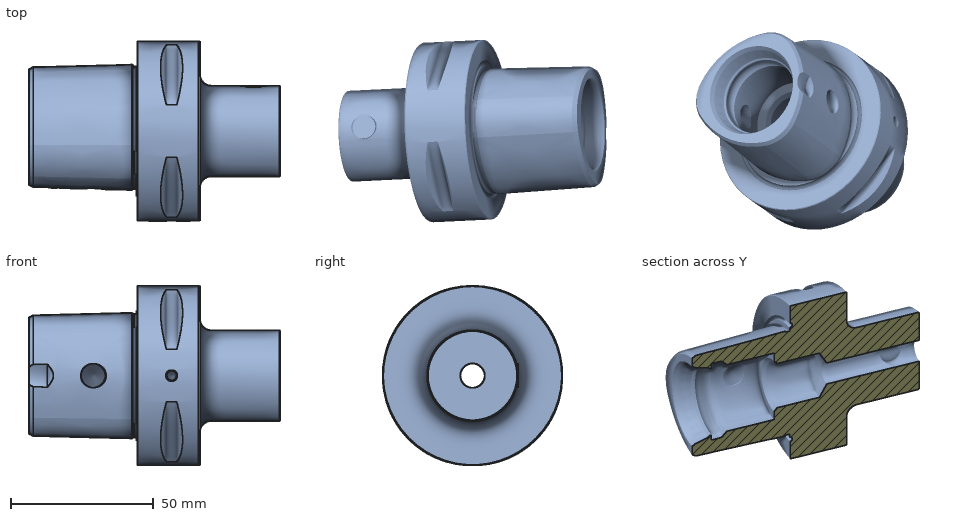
import cadquery as cq
import math

total_length = 88.0
flange_start = 37.9
flange_end = 59.9
taper_end = 36.1

flange_radius = 31.5
front_edge_chamfer = 0.3
rear_edge_chamfer = 0.5

nose_radius = 15.9
nose_fillet = 3.9
nose_edge_chamfer = 0.35

lobe_tip = 23.3
lobe_radius = 13.6
lobe_half_angle = 30
lobe_center = lobe_tip - lobe_radius
flank_radius = lobe_radius + lobe_center * math.sqrt(3)
taper_angle = math.degrees(math.atan(1 / 40))
end_chamfer_length = 1.5
end_chamfer_angle = 30.0

neck_inset = 0.35
neck_chamfer_angle = 45.0
collar_radius = 22.6
collar_height = 0.3
face_groove_width = 1.6
relief_cone_radius = 23.4

mouth_radius = 16.3
mouth_chamfer_radius = 15.4
mouth_chamfer_depth = 1.6
lip_entry_radius = 14.1
lip_entry = 6.4
bore_radius = 13.55
lip_start = 6.95
lip_end = 7.6
clamp_groove_radius = 15.6
clamp_groove_rounding = 1.8
clamp_groove_exit = 13.5
bore_floor = 31.7
thread_mouth_radius = 10.3
thread_radius = 9.0
thread_end = 49.3
through_radius = 4.2

drill_half_angle = 59.0
shank_hole_radius = 4.2
shank_hole_x = 22.5
shank_hole_start = 20.7
shank_hole_chamfer = 0.5
end_notch_radius = 5.5
end_notch_offset = 23.4
end_notch_depth = 6.5
end_notch_half_angle = 45.0
chip_hole_radius = 1.7
chip_hole_depth = 4.4
chip_hole_chamfer = 0.35

slot_x = 50.0
slot_floor_distance = 27.8
slot_floor_width = 3.6
slot_corner_radius = 0.4
slot_mouth_width = 7.7
slot_count = 4
first_slot_angle = 45.0

screw_x = 78.7
screw_radius = 4.1
screw_hole_chamfer = 0.5


def lobed_outline(start, inset):
    """Three-lobed outline in the plane X = start, with one lobe pointing to +Y."""
    def polar(radius, degrees):
        angle = math.radians(degrees)
        return radius * math.cos(angle), radius * math.sin(angle)

    def lobe_point(lobe_angle, offset_angle):
        center = polar(lobe_center, lobe_angle)
        spoke = polar(lobe_radius - inset, lobe_angle + offset_angle)
        return center[0] + spoke[0], center[1] + spoke[1]

    flank_distance = flank_radius - lobe_center - inset
    outline = cq.Workplane("YZ", origin=(start, 0, 0)).moveTo(*lobe_point(0, -lobe_half_angle))
    for lobe_angle in (0, 120, 240):
        outline = outline.threePointArc(
            polar(lobe_tip - inset, lobe_angle), lobe_point(lobe_angle, lobe_half_angle)
        )
        outline = outline.threePointArc(
            polar(flank_distance, lobe_angle + 60), lobe_point(lobe_angle + 120, -lobe_half_angle)
        )
    return outline.close()


def revolved(profile):
    """Solid of revolution about X from a closed profile in the XZ plane."""
    return profile.revolve(360, (0, 0, 0), (1, 0, 0))


def cone_length(radius, half_angle):
    return radius / math.tan(math.radians(half_angle))


def drill(radius, depth, half_angle, chamfer=0.0):
    """Drilled hole along +X from the origin, with a conical bottom and an optional entry chamfer."""
    entry = [(0, 0), (0, radius + chamfer)]
    if chamfer:
        entry.append((chamfer, radius))
    bottom = [(depth, radius), (depth + cone_length(radius, half_angle), 0)]
    return revolved(cq.Workplane("XZ").polyline(entry + bottom).close())


def side_drill(x, radius, start, depth, chamfer):
    """Chamfered drilled hole along +Y, starting on the -Y side at the given distance from the axis."""
    hole = drill(radius, depth, drill_half_angle, chamfer)
    return hole.rotate((0, 0, 0), (0, 0, 1), 90).translate((x, -start, 0))


def make_shank():
    taper_start = end_chamfer_length
    taper_inset = (taper_end - taper_start) * math.tan(math.radians(taper_angle))
    taper = lobed_outline(taper_end, 0).extrude(-(taper_end - taper_start), taper=taper_angle)
    tip = lobed_outline(taper_start, taper_inset).extrude(-taper_start, taper=end_chamfer_angle)
    neck_start = taper_end + neck_inset
    neck = lobed_outline(taper_end, 0).extrude(neck_inset, taper=neck_chamfer_angle)
    neck = neck.union(lobed_outline(neck_start, neck_inset).extrude(flange_start - neck_start))
    relief = revolved(
        cq.Workplane("XZ")
        .polyline([
            (taper_end, 0),
            (taper_end, relief_cone_radius),
            (taper_end + relief_cone_radius - collar_radius, collar_radius),
            (flange_start, collar_radius),
            (flange_start, 0),
        ])
        .close()
    )
    return taper.union(tip).union(neck.intersect(relief))


def make_flange_and_nose():
    collar_start = flange_start - collar_height
    groove_radius = face_groove_width / 2
    return revolved(
        cq.Workplane("XZ")
        .moveTo(collar_start, 0)
        .lineTo(collar_start, collar_radius)
        .lineTo(flange_start, collar_radius)
        .threePointArc(
            (flange_start + groove_radius, collar_radius + groove_radius),
            (flange_start, collar_radius + face_groove_width),
        )
        .lineTo(flange_start, flange_radius - front_edge_chamfer)
        .lineTo(flange_start + front_edge_chamfer, flange_radius)
        .lineTo(flange_end - rear_edge_chamfer, flange_radius)
        .lineTo(flange_end, flange_radius - rear_edge_chamfer / 2)
        .lineTo(flange_end, nose_radius + nose_fillet)
        .radiusArc((flange_end + nose_fillet, nose_radius), -nose_fillet)
        .lineTo(total_length - nose_edge_chamfer, nose_radius)
        .lineTo(total_length, nose_radius - nose_edge_chamfer)
        .lineTo(total_length, 0)
        .close()
    )


def make_bore():
    corner_radius = clamp_groove_radius - clamp_groove_rounding * (1 - math.cos(math.pi / 4))
    corner_end = clamp_groove_exit - (corner_radius - bore_radius)
    corner_start = corner_end - clamp_groove_rounding * math.sin(math.pi / 4)
    thread_start = bore_floor + thread_mouth_radius - thread_radius
    drill_end = thread_end + cone_length(thread_radius - through_radius, drill_half_angle)
    return revolved(
        cq.Workplane("XZ")
        .moveTo(0, 0)
        .lineTo(0, mouth_radius)
        .lineTo(mouth_chamfer_depth, mouth_chamfer_radius)
        .lineTo(lip_entry, lip_entry_radius)
        .lineTo(lip_start, bore_radius)
        .lineTo(lip_end, bore_radius)
        .lineTo(lip_end, clamp_groove_radius)
        .lineTo(corner_start, clamp_groove_radius)
        .radiusArc((corner_end, corner_radius), clamp_groove_rounding)
        .lineTo(clamp_groove_exit, bore_radius)
        .lineTo(bore_floor, bore_radius)
        .lineTo(bore_floor, thread_mouth_radius)
        .lineTo(thread_start, thread_radius)
        .lineTo(thread_end, thread_radius)
        .lineTo(drill_end, through_radius)
        .lineTo(total_length, through_radius)
        .lineTo(total_length, 0)
        .close()
    )


def make_gripper_slot():
    """Flat-bottomed slot with flared walls, cut straight across the top of the flange."""
    return (
        cq.Workplane("XZ", origin=(slot_x, flange_radius, 0))
        .polyline([
            (-slot_floor_width / 2, slot_floor_distance),
            (slot_floor_width / 2, slot_floor_distance),
            (slot_mouth_width / 2, flange_radius),
            (-slot_mouth_width / 2, flange_radius),
        ])
        .close()
        .extrude(2 * flange_radius)
        .faces("<Z")
        .edges("|Y")
        .fillet(slot_corner_radius)
    )


def make_screw():
    """Plain set screw along +Y, from the edge of the through bore to flush with the nose."""
    screw = cq.Workplane("XZ", origin=(screw_x, through_radius, 0)).circle(screw_radius)
    return screw.extrude(through_radius - nose_radius)


def make_screw_hole():
    """Hole from the axis out through the +Y side of the nose, with a chamfered mouth."""
    hole = cq.Workplane("XZ", origin=(screw_x, 0, 0)).circle(screw_radius).extrude(-nose_radius)
    mouth_start = cq.Vector(screw_x, nose_radius - screw_hole_chamfer, 0)
    mouth = cq.Solid.makeCone(
        screw_radius, screw_radius + screw_hole_chamfer, screw_hole_chamfer, mouth_start, cq.Vector(0, 1, 0)
    )
    return hole.union(cq.Workplane(mouth))


def make_holder():
    holder = make_shank().union(make_flange_and_nose()).cut(make_bore())
    for index in range(slot_count):
        angle = first_slot_angle + index * 360 / slot_count
        holder = holder.cut(make_gripper_slot().rotate((0, 0, 0), (1, 0, 0), angle))

    end_notch = drill(end_notch_radius, end_notch_depth, end_notch_half_angle)
    holder = holder.cut(end_notch.translate((0, -end_notch_offset, 0)))
    cross_depth = shank_hole_start + bore_radius
    holder = holder.cut(side_drill(
        shank_hole_x, shank_hole_radius, shank_hole_start, cross_depth, shank_hole_chamfer
    ))
    holder = holder.cut(side_drill(
        slot_x, chip_hole_radius, flange_radius, chip_hole_depth, chip_hole_chamfer
    ))
    return holder.cut(make_screw_hole())


holder = make_holder()
screw = make_screw()

result = cq.Compound.makeCompound([holder.solids().val(), screw.val()])